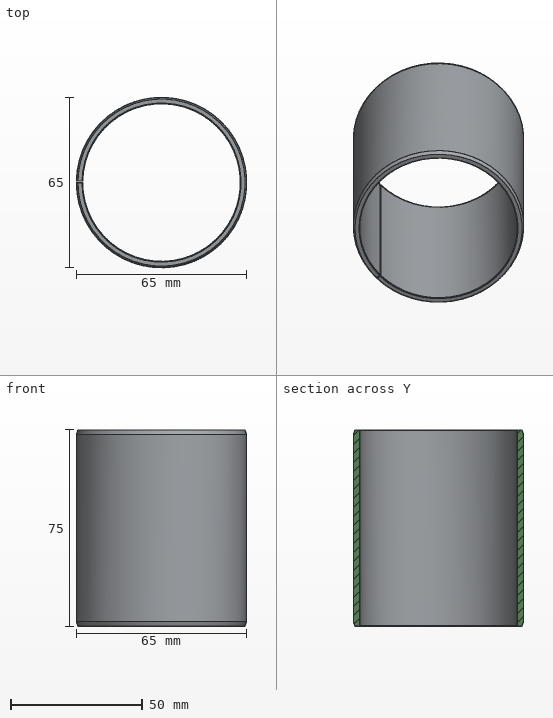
import cadquery as cq
import math

length = 75.0
outer_radius = 65.0 / 2
wall = 2.5
inner_radius = outer_radius - wall

outer_bevel_height = 1.8
outer_bevel_angle = 20.0
outer_bevel_depth = outer_bevel_height * math.tan(math.radians(outer_bevel_angle))
inner_bevel = 0.3

gap_angle = 1.0


def make_sleeve():
    """Revolve the beveled wall section from the -X side, stopping short to leave the gap."""
    end_outer_radius = outer_radius - outer_bevel_depth
    end_inner_radius = inner_radius + inner_bevel
    section = [
        (-end_inner_radius, 0),
        (-end_outer_radius, 0),
        (-outer_radius, outer_bevel_height),
        (-outer_radius, length - outer_bevel_height),
        (-end_outer_radius, length),
        (-end_inner_radius, length),
        (-inner_radius, length - inner_bevel),
        (-inner_radius, inner_bevel),
    ]
    return cq.Workplane("XZ").polyline(section).close().revolve(
        360 - gap_angle, (0, 0, 0), (0, 1, 0)
    )


result = make_sleeve()